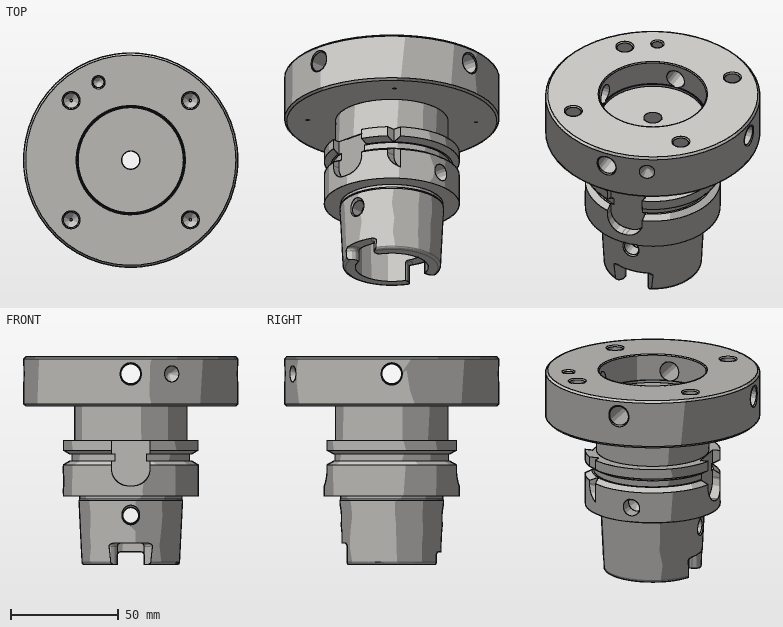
import cadquery as cq
import math


disc_radius = 50.0
disc_thickness = 23.0
disc_chamfer = 1.0
top_z = 65.0
disc_bottom_z = top_z - disc_thickness

neck_radius = 26.25
flange_radius = 31.5
flange_height = 26.0
grip_groove_z = 18.0
grip_groove_radius = 27.5
grip_groove_mouth_width = 6.8
grip_groove_floor_width = 3.2
grip_groove_cone_depth = 3.1
grip_shoulder_radius = flange_radius - grip_groove_cone_depth

shank_length = 31.9
taper_top_radius = 24.2
taper_top_z = -2.1
taper_ratio = 0.1
shank_tip_round = 1.2
relief_radius = 23.9
relief_end_z = -1.4
shank_bottom_z = -shank_length
shank_tip_radius = taper_top_radius - (taper_top_z - shank_bottom_z) * taper_ratio / 2
cavity_radius = 17.0
cavity_depth = shank_length

bore_radius = 25.0
bore_chamfer = 0.5
bore_depth = 12.5
bore_step_radius = 24.5
bore_floor_depth = 13.7

center_hole_diameter = 8.4
drill_point_angle = 118.0
hole_chamfer = 0.6
face_hole_circle_radius = 39.3
mount_hole_diameter = 7.2
mount_hole_depth = 21.15
pin_hole_diameter = 5.0
pin_hole_depth = 12.0
pin_hole_angle = 112.5
radial_hole_z = top_z - 8.0
radial_hole_diameter = 9.2
radial_seat_angle = -67.5
radial_seat_diameter = 7.5
radial_seat_depth = 3.3
chip_hole_z = 7.0
chip_hole_diameter = 8.0
chip_hole_depth = 8.0
access_hole_z = -9.0
access_hole_diameter = 7.3
access_hole_chamfer = 0.9
access_surface_radius = taper_top_radius - (taper_top_z - access_hole_z) * taper_ratio / 2

keyway_width = 18.0
keyway_floor_y = 26.5
keyway_bottom_z = 4.8
keyway_corner_radius = 8.0
notch_offset = 20.0
notch_run_out_radius = 8.2
notch_run_out_z = 13.0

drive_slot_width = 12.4
drive_slot_face_y = 20.8
drive_slot_edge_radius = 3.6
drive_slot_top_fillet = 1.5
front_slot_top_z = -21.9
back_slot_top_z = -26.0


def radial_frame(angle, z):
    """Point on the Z axis and outward direction for a radial feature."""
    turn = math.radians(angle)
    return cq.Vector(0, 0, z), cq.Vector(math.cos(turn), math.sin(turn), 0)


def drilled_hole(mouth, inward, diameter, depth):
    """Blind drilled hole with a conical end."""
    radius = diameter / 2
    point_length = radius / math.tan(math.radians(drill_point_angle / 2))
    drill = cq.Solid.makeCylinder(radius, depth, mouth, inward)
    point = cq.Solid.makeCone(radius, 0, point_length, mouth + inward * depth, inward)
    return drill.fuse(point)


def countersink(mouth, inward, diameter, chamfer):
    """45 degree chamfer at a hole mouth, carried outward past a curved surface."""
    length = 2 * chamfer
    start = mouth - inward * chamfer
    return cq.Solid.makeCone(diameter / 2 + length, diameter / 2, length, start, inward)


def cut_through_hole(part, angle, z, surface_radius, diameter, chamfer):
    """Hole from the Z axis out through one side, chamfered where it opens."""
    axis_point, outward = radial_frame(angle, z)
    drill = cq.Solid.makeCylinder(diameter / 2, disc_radius, axis_point, outward)
    mouth = axis_point + outward * surface_radius
    chamfer_cone = countersink(mouth, outward * -1, diameter, chamfer)
    return part.cut(cq.Workplane(drill)).cut(cq.Workplane(chamfer_cone))


def make_body():
    """Revolved disc, neck, flange and taper shank."""
    mouth_half = grip_groove_mouth_width / 2
    floor_half = grip_groove_floor_width / 2
    profile = (
        cq.Workplane("XZ")
        .moveTo(0, shank_bottom_z)
        .lineTo(shank_tip_radius, shank_bottom_z)
        .lineTo(taper_top_radius, taper_top_z)
        .lineTo(relief_radius, relief_end_z)
        .lineTo(relief_radius, 0)
        .lineTo(flange_radius, 0)
        .lineTo(flange_radius, grip_groove_z - mouth_half)
        .lineTo(grip_shoulder_radius, grip_groove_z - floor_half)
        .lineTo(grip_groove_radius, grip_groove_z - floor_half)
        .lineTo(grip_groove_radius, grip_groove_z + floor_half)
        .lineTo(grip_shoulder_radius, grip_groove_z + floor_half)
        .lineTo(flange_radius, grip_groove_z + mouth_half)
        .lineTo(flange_radius, flange_height)
        .lineTo(neck_radius, flange_height)
        .lineTo(neck_radius, disc_bottom_z)
        .lineTo(disc_radius - disc_chamfer, disc_bottom_z)
        .lineTo(disc_radius, disc_bottom_z + disc_chamfer)
        .lineTo(disc_radius, top_z - disc_chamfer)
        .lineTo(disc_radius - disc_chamfer, top_z)
        .lineTo(0, top_z)
        .close()
    )
    body = profile.revolve(360, (0, 0, 0), (0, 1, 0))
    return body.faces("<Z").edges().fillet(shank_tip_round)


def make_bore():
    """Stepped locating bore in the face, with a chamfered mouth."""
    return (
        cq.Workplane("XZ")
        .moveTo(0, top_z)
        .lineTo(bore_radius + bore_chamfer, top_z)
        .lineTo(bore_radius, top_z - bore_chamfer)
        .lineTo(bore_radius, top_z - bore_depth)
        .lineTo(bore_step_radius, top_z - bore_depth)
        .lineTo(bore_step_radius, top_z - bore_floor_depth)
        .lineTo(0, top_z - bore_floor_depth)
        .close()
        .revolve(360, (0, 0, 0), (0, 1, 0))
    )


def make_keyway():
    """Flange keyway on the -Y side, open at the top, with rounded lower corners."""
    height = flange_height - keyway_bottom_z
    depth = disc_radius - keyway_floor_y
    return (
        cq.Workplane("XY")
        .box(keyway_width, depth, height, centered=(True, False, False))
        .edges("|Y and <Z")
        .fillet(keyway_corner_radius)
        .translate((0, -disc_radius, keyway_bottom_z))
    )


def make_notch():
    """Square-cornered orientation notch in the -X +Y part of the flange with a curved run-out."""
    width = flange_radius - notch_offset
    run_out_center_x = -notch_offset - notch_run_out_radius
    run_out_bottom_z = notch_run_out_z - notch_run_out_radius
    profile = (
        cq.Workplane("XZ", origin=(0, notch_offset, 0))
        .moveTo(-notch_offset, flange_height)
        .lineTo(-notch_offset, notch_run_out_z)
        .radiusArc((run_out_center_x, run_out_bottom_z), notch_run_out_radius)
        .lineTo(-flange_radius, run_out_bottom_z)
        .lineTo(-flange_radius, flange_height)
        .close()
    )
    return profile.extrude(-width)


def make_drive_slot(slot_top_z):
    """Shank-end slot on the -Y side whose walls round over into a flat outer face."""
    half_width = drive_slot_width / 2
    wall_end_y = -drive_slot_face_y + drive_slot_edge_radius
    round_end_x = half_width + drive_slot_edge_radius
    outer_y = -flange_radius
    outer_x = flange_radius
    bottom_z = shank_bottom_z - drive_slot_top_fillet
    slot = (
        cq.Workplane("XY", origin=(0, 0, bottom_z))
        .moveTo(-half_width, 0)
        .lineTo(-half_width, wall_end_y)
        .radiusArc((-round_end_x, -drive_slot_face_y), drive_slot_edge_radius)
        .lineTo(-outer_x, -drive_slot_face_y)
        .lineTo(-outer_x, outer_y)
        .lineTo(outer_x, outer_y)
        .lineTo(outer_x, -drive_slot_face_y)
        .lineTo(round_end_x, -drive_slot_face_y)
        .radiusArc((half_width, wall_end_y), drive_slot_edge_radius)
        .lineTo(half_width, 0)
        .close()
        .extrude(slot_top_z - bottom_z)
    )
    return slot.faces(">Z").edges().fillet(drive_slot_top_fillet)


def cut_face_holes(part):
    """Four mounting holes and one pin hole drilled down from the face."""
    down = cq.Vector(0, 0, -1)
    holes = [(angle, mount_hole_diameter, mount_hole_depth) for angle in (45, 135, 225, 315)]
    holes.append((pin_hole_angle, pin_hole_diameter, pin_hole_depth))
    for angle, diameter, depth in holes:
        axis_point, outward = radial_frame(angle, top_z)
        mouth = axis_point + outward * face_hole_circle_radius
        part = part.cut(cq.Workplane(drilled_hole(mouth, down, diameter, depth)))
        part = part.cut(cq.Workplane(countersink(mouth, down, diameter, hole_chamfer)))
    return part


def cut_side_holes(part):
    """Cross holes through the disc, the conical seat, the chip hole and the access holes."""
    for angle in (0, 90, 180, 270):
        part = cut_through_hole(
            part, angle, radial_hole_z, disc_radius, radial_hole_diameter, hole_chamfer)

    axis_point, outward = radial_frame(radial_seat_angle, radial_hole_z)
    seat_mouth = axis_point + outward * disc_radius
    seat = cq.Solid.makeCone(radial_seat_diameter / 2, 0, radial_seat_depth, seat_mouth, outward * -1)
    part = part.cut(cq.Workplane(seat))

    axis_point, outward = radial_frame(180, chip_hole_z)
    chip_mouth = axis_point + outward * flange_radius
    chip_hole = drilled_hole(chip_mouth, outward * -1, chip_hole_diameter, chip_hole_depth)
    part = part.cut(cq.Workplane(chip_hole))

    for angle in (90, 270):
        part = cut_through_hole(
            part, angle, access_hole_z, access_surface_radius, access_hole_diameter, access_hole_chamfer)
    return part


def make_part():
    """Body with its bores, keyways, notch, drive slots and holes cut."""
    part = make_body().cut(make_bore())
    cavity = cq.Workplane("XY", origin=(0, 0, shank_bottom_z)).circle(cavity_radius).extrude(cavity_depth)
    center_hole = cq.Workplane("XY").circle(center_hole_diameter / 2).extrude(top_z)
    part = part.cut(cavity).cut(center_hole)

    keyway = make_keyway()
    part = part.cut(keyway).cut(keyway.rotate((0, 0, 0), (0, 0, 1), 180)).cut(make_notch())

    back_slot = make_drive_slot(back_slot_top_z).rotate((0, 0, 0), (0, 0, 1), 180)
    part = part.cut(make_drive_slot(front_slot_top_z)).cut(back_slot)
    return cut_side_holes(cut_face_holes(part))


result = make_part()